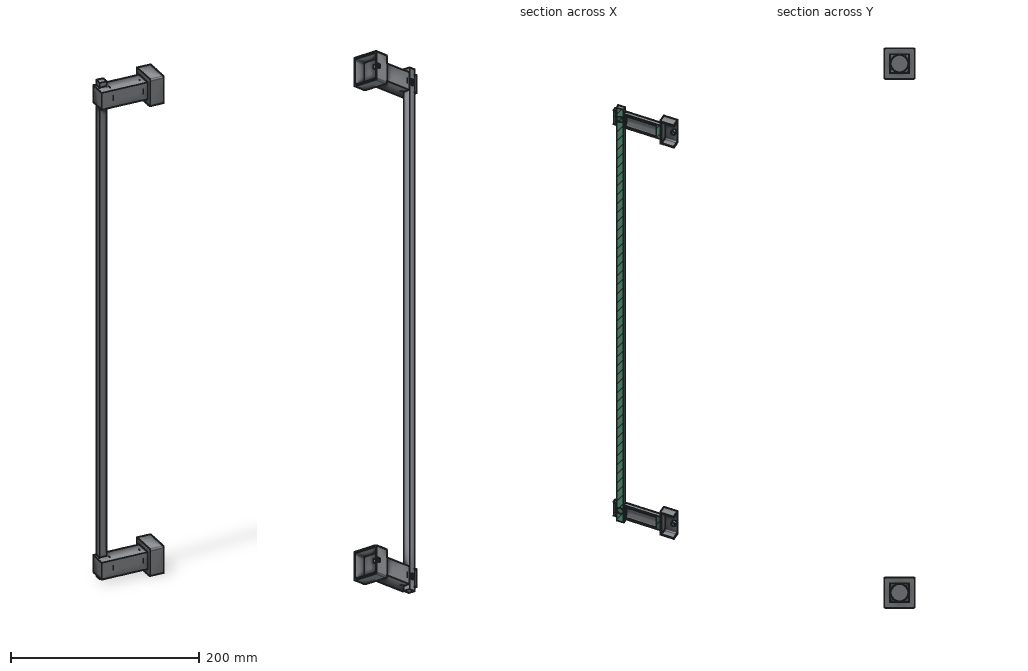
import cadquery as cq


RAIL_LENGTH = 595.5
RAIL_DEPTH = 71.0

BASE_SIDE = 33.0
BASE_DEPTH = 16.0
BASE_WALL = 2.0
BASE_CORNER_RADIUS = 2.0

POST_SIDE = 20.0
BORE_DIAMETER = 18.5
BORE_START = 21.0
BORE_END = 56.5

BAR_LENGTH = 594.5
BAR_SIDE = 8.5
BAR_BACK = 59.0
NOTCH_GAP = 0.35

BASE_SCREW_RADIUS = 2.5
BASE_SCREW_LENGTH = 6.0
BASE_SCREW_OFFSET = 3.0
BAR_SCREW_RADIUS = 3.5
BAR_SCREW_LENGTH = 14.0
SOCKET_DEPTH = 2.0

POST_LEFT = -POST_SIDE / 2
BASE_LEFT = -BASE_SIDE / 2
BAR_CENTRE = BAR_BACK + BAR_SIDE / 2
END_HEIGHT = (RAIL_LENGTH - BASE_SIDE) / 2
MOUNT_HEIGHTS = (-END_HEIGHT, END_HEIGHT)


def block_from_wall(width, height, start, end):
    """Block centred on the Y axis between two distances from the wall."""
    return cq.Workplane("XZ", origin=(0, -start, 0)).rect(width, height).extrude(end - start)


def side_rod(radius, left, length, offset):
    """Round rod along +X from x = left, at a distance from the wall."""
    return cq.Workplane("YZ", origin=(left, -offset, 0)).circle(radius).extrude(length)


def base_screw_rod():
    return side_rod(BASE_SCREW_RADIUS, BASE_LEFT, BASE_SCREW_LENGTH, BASE_SCREW_OFFSET)


def bar_screw_rod():
    return side_rod(BAR_SCREW_RADIUS, POST_LEFT, BAR_SCREW_LENGTH, BAR_CENTRE)


def with_socket(rod, radius):
    """Cut a hexagon socket, as wide across its corners as the screw's radius, into the -X end."""
    socket = rod.faces("<X").workplane().polygon(6, radius)
    return socket.cutBlind(-SOCKET_DEPTH)


def make_base():
    cup = block_from_wall(BASE_SIDE, BASE_SIDE, 0, BASE_DEPTH)
    cup = cup.edges("|Y").fillet(BASE_CORNER_RADIUS)
    inside = BASE_SIDE - 2 * BASE_WALL
    cavity = block_from_wall(inside, inside, 0, BASE_DEPTH - BASE_WALL)
    cavity = cavity.edges("|Y").fillet(BASE_CORNER_RADIUS)
    return cup.cut(cavity).cut(base_screw_rod())


def make_post():
    post = block_from_wall(POST_SIDE, POST_SIDE, BASE_DEPTH, RAIL_DEPTH)
    bore_plane = cq.Workplane("XZ", origin=(0, -BORE_START, 0))
    bore = bore_plane.circle(BORE_DIAMETER / 2).extrude(BORE_END - BORE_START)

    notch_depth = BAR_SIDE + 2 * NOTCH_GAP
    notch = cq.Workplane("XY").box(BAR_SIDE, notch_depth, POST_SIDE)
    notch = notch.translate((POST_LEFT + BAR_SIDE / 2, -BAR_CENTRE, 0))
    return post.cut(bore).cut(notch).cut(bar_screw_rod())


def make_bar():
    bar = cq.Workplane("XY").box(BAR_SIDE, BAR_SIDE, BAR_LENGTH)
    bar = bar.translate((POST_LEFT + BAR_SIDE / 2, -BAR_CENTRE, 0))
    for height in MOUNT_HEIGHTS:
        bar = bar.cut(bar_screw_rod().translate((0, 0, height)))
    return bar


def make_base_screw():
    return with_socket(base_screw_rod(), BASE_SCREW_RADIUS)


def make_bar_screw():
    return with_socket(bar_screw_rod(), BAR_SCREW_RADIUS)


bodies = [make_bar().val()]
for mount_height in MOUNT_HEIGHTS:
    for make_body in (make_base, make_post, make_base_screw, make_bar_screw):
        bodies.append(make_body().translate((0, 0, mount_height)).val())

result = cq.Compound.makeCompound(bodies)